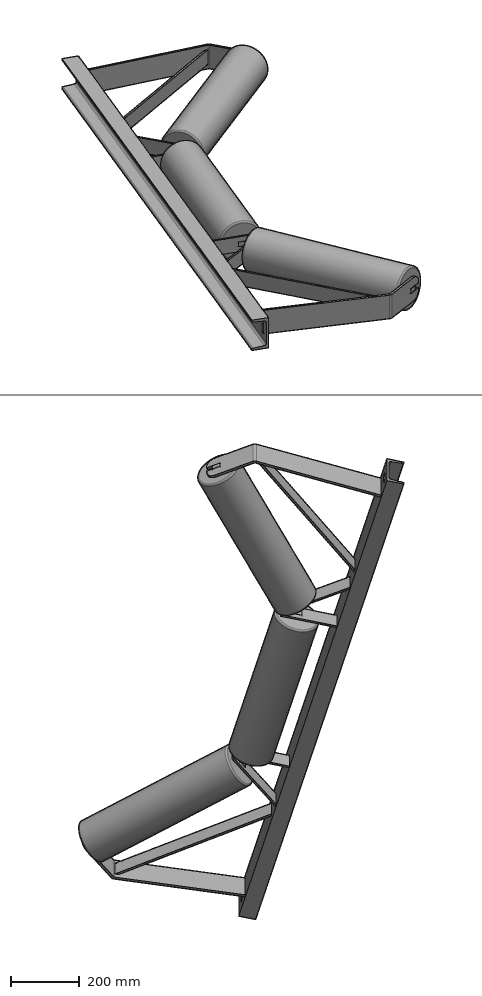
import cadquery as cq
import math


CHANNEL_LENGTH = 1700.0
CHANNEL_HEIGHT = 100.0
FLANGE_DEPTH = 51.0
WEB_THICKNESS = 7.0
FLANGE_TIP_THICKNESS = 7.0
FLANGE_ROOT_THICKNESS = 10.0
ROOT_RADIUS = 7.0
TIP_RADIUS = 3.0
SLOT_OFFSET = 820.0
SLOT_WIDTH = 14.0
SLOT_HEIGHT = 34.0

ROLLER_LENGTH = 530.0
ROLLER_DIAMETER = 135.0
ROLLER_EDGE_RADIUS = 5.0
TROUGH_ANGLE = 40.0
FORWARD_TILT = 2.0
CENTRE_ROLLER_Y = 117.0
SIDE_ROLLER_X = 524.0
SIDE_ROLLER_Y = 306.0
TILT_RISE = ROLLER_LENGTH * math.sin(math.radians(FORWARD_TILT))
CENTRE_ROLLER_Z = -TILT_RISE
SIDE_ROLLER_Z = -TILT_RISE / 2

TONGUE_WIDTH = 15.0
TONGUE_DEPTH = 25.0

ROLLER_GAP = 5.0
INNER_THICKNESS = 6.0
OUTER_THICKNESS = 7.6
INNER_REACH = ROLLER_GAP + INNER_THICKNESS
OUTER_REACH = ROLLER_GAP + OUTER_THICKNESS

OUTER_HEIGHT = 78.0
OUTER_FOOT_X = 784.0
ARM_ABOVE_AXIS = 30.0
ARM_CORNER_RADIUS = 27.0
BEND_X = 816.0
BEND_RADIUS = 14.0
INNER_BEND_RADIUS = BEND_RADIUS - OUTER_THICKNESS

INNER_HEIGHT = 50.0
INNER_TOP_Y = 168.0

BRACE_FOOT_X = 481.0
BRACE_TOP_DROP = 7.0
BRACE_HEIGHT = 50.0
BRACE_THICKNESS = 7.0

ALONG = cq.Vector(math.cos(math.radians(TROUGH_ANGLE)), math.sin(math.radians(TROUGH_ANGLE)))
ACROSS = cq.Vector(-ALONG.y, ALONG.x)
SIDE_CENTRE = cq.Vector(SIDE_ROLLER_X, SIDE_ROLLER_Y)
AXIAL_HALF = ROLLER_LENGTH / 2 * math.cos(math.radians(FORWARD_TILT))

ARM_FACE = SIDE_CENTRE + ALONG * (AXIAL_HALF + OUTER_REACH)

FOOT_OVERRUN = 17.0
FAR = 3400.0
BEHIND_CHANNEL = cq.Workplane("XY").box(FAR, FAR, FAR, centered=(True, False, True))


def base_channel():
    half = CHANNEL_HEIGHT / 2
    upper = [
        (0, half),
        (-FLANGE_DEPTH, half),
        (-FLANGE_DEPTH, half - FLANGE_TIP_THICKNESS),
        (-WEB_THICKNESS, half - FLANGE_ROOT_THICKNESS),
    ]
    lower = [(y, -z) for y, z in reversed(upper)]
    channel = (
        cq.Workplane("YZ", origin=(-CHANNEL_LENGTH / 2, 0, 0))
        .polyline(upper + lower).close()
        .extrude(CHANNEL_LENGTH)
    )
    inside_web = cq.selectors.BoxSelector(
        (-FAR, -WEB_THICKNESS - ROOT_RADIUS / 2, -half + FLANGE_TIP_THICKNESS),
        (FAR, -WEB_THICKNESS / 2, half - FLANGE_TIP_THICKNESS),
    )
    channel = channel.edges("|X").edges(inside_web).fillet(ROOT_RADIUS)
    inside_tips = cq.selectors.BoxSelector(
        (-FAR, -FLANGE_DEPTH - TIP_RADIUS, -half + FLANGE_TIP_THICKNESS / 2),
        (FAR, -FLANGE_DEPTH + TIP_RADIUS, half - FLANGE_TIP_THICKNESS / 2),
    )
    channel = channel.edges("|X").edges(inside_tips).fillet(TIP_RADIUS)
    slots = (
        cq.Workplane("XZ").pushPoints([(-SLOT_OFFSET, 0), (SLOT_OFFSET, 0)])
        .slot2D(SLOT_HEIGHT, SLOT_WIDTH, 90)
        .extrude(WEB_THICKNESS)
    )
    return channel.cut(slots)


def place_side(body):
    """Move a body from roller coordinates (axis on X) to the right-hand side roller."""
    tilted = body.rotate((0, 0, 0), (0, 1, 0), -FORWARD_TILT)
    turned = tilted.rotate((0, 0, 0), (0, 0, 1), TROUGH_ANGLE)
    return turned.translate((SIDE_ROLLER_X, SIDE_ROLLER_Y, SIDE_ROLLER_Z))


def place_centre(body):
    return body.translate((0, CENTRE_ROLLER_Y, CENTRE_ROLLER_Z))


def mirrored(body):
    return body.mirror("YZ")


def roller(left_reach, right_reach):
    """A roller along X whose shaft tongues reach past its two ends."""
    shell = (
        cq.Workplane("YZ", origin=(-ROLLER_LENGTH / 2, 0, 0))
        .circle(ROLLER_DIAMETER / 2)
        .extrude(ROLLER_LENGTH)
        .faces("<X or >X").edges().fillet(ROLLER_EDGE_RADIUS)
    )
    shaft_length = left_reach + ROLLER_LENGTH + right_reach
    shaft = (
        cq.Workplane("XY").box(shaft_length, TONGUE_DEPTH, TONGUE_WIDTH)
        .translate(((right_reach - left_reach) / 2, 0, 0))
    )
    return shell.union(shaft)


def tongue_slot(end):
    """Cutter past one roller end (-1 left, 1 right), open toward +Y, that fits a tongue."""
    depth = TONGUE_DEPTH / 2 + ROLLER_DIAMETER
    length = 2 * OUTER_REACH
    return (
        cq.Workplane("XY").box(length, depth, TONGUE_WIDTH)
        .translate((end * (ROLLER_LENGTH + length) / 2, (depth - TONGUE_DEPTH) / 2, 0))
    )


def strip(path, thickness, height):
    """An upright strip whose right-hand face follows the path and whose bends are mitred."""
    directions = [(b - a).normalized() for a, b in zip(path, path[1:])]
    befores = [directions[0]] + directions
    afters = directions + [directions[-1]]
    offset = []
    for point, before, after in zip(path, befores, afters):
        normal = cq.Vector(-before.y - after.y, before.x + after.x).normalized()
        reach = thickness / (normal.x * -before.y + normal.y * before.x)
        offset.append(point + normal * reach)
    outline = [(p.x, p.y) for p in path + offset[::-1]]
    base = cq.Workplane("XY", origin=(0, 0, -height / 2))
    return base.polyline(outline).close().extrude(height)


def point_at_y(point, direction, y):
    return point + direction * ((y - point.y) / direction.y)


def outer_bend():
    """Outside corner of the outer bracket, on the outer face of its arm."""
    return ARM_FACE + ACROSS * ((BEND_X - ARM_FACE.x) / ACROSS.x)


def outer_bracket():
    bend = outer_bend()
    tip = ARM_FACE + ACROSS * ARM_ABOVE_AXIS
    foot = cq.Vector(OUTER_FOOT_X, 0)
    below = point_at_y(foot, bend - foot, -FOOT_OVERRUN)
    bracket = strip([below, bend, tip], OUTER_THICKNESS, OUTER_HEIGHT)
    inner_bend = bend - ALONG * OUTER_THICKNESS
    for point, radius in ((bend, BEND_RADIUS), (inner_bend, INNER_BEND_RADIUS)):
        nearest = cq.selectors.NearestToPointSelector(point.toTuple())
        bracket = bracket.edges("|Z").edges(nearest).fillet(radius)
    for side in (-1, 1):
        corner = (tip.x, tip.y, side * OUTER_HEIGHT / 2)
        across_thickness = cq.selectors.ParallelDirSelector(ALONG)
        nearest = cq.selectors.NearestToPointSelector(corner)
        bracket = bracket.edges(across_thickness).edges(nearest).fillet(ARM_CORNER_RADIUS)
    return bracket.intersect(BEHIND_CHANNEL).cut(place_side(tongue_slot(1)))


def inner_bracket():
    outside = ROLLER_LENGTH / 2 + ROLLER_GAP
    face = SIDE_CENTRE - ALONG * (AXIAL_HALF + ROLLER_GAP)
    side_corner = point_at_y(face, ACROSS, INNER_TOP_Y)
    path = [
        cq.Vector(outside, -FOOT_OVERRUN),
        cq.Vector(outside, INNER_TOP_Y),
        side_corner,
        point_at_y(face, ACROSS, -FOOT_OVERRUN),
    ]
    bracket = strip(path[::-1], INNER_THICKNESS, INNER_HEIGHT)
    bracket = bracket.translate((0, 0, CENTRE_ROLLER_Z)).intersect(BEHIND_CHANNEL)
    return bracket.cut(place_side(tongue_slot(-1))).cut(place_centre(tongue_slot(1)))


def brace(bracket):
    top = outer_bend() - cq.Vector(0, BRACE_TOP_DROP)
    foot = cq.Vector(BRACE_FOOT_X, 0)
    below = point_at_y(foot, top - foot, -FOOT_OVERRUN)
    full_length = strip([below, top], BRACE_THICKNESS, BRACE_HEIGHT).intersect(BEHIND_CHANNEL)
    return full_length.cut(bracket).solids("<Y")


channel = base_channel()
centre_roller = place_centre(roller(INNER_REACH, INNER_REACH))
right_roller = place_side(roller(INNER_REACH, OUTER_REACH))
right_outer = outer_bracket()
right_inner = inner_bracket()
right_brace = brace(right_outer)

bodies = [*channel.solids().vals(), *centre_roller.solids().vals()]
for body in (right_roller, right_outer, right_inner, right_brace):
    bodies += [*body.solids().vals(), *mirrored(body).solids().vals()]

result = cq.Compound.makeCompound(bodies)